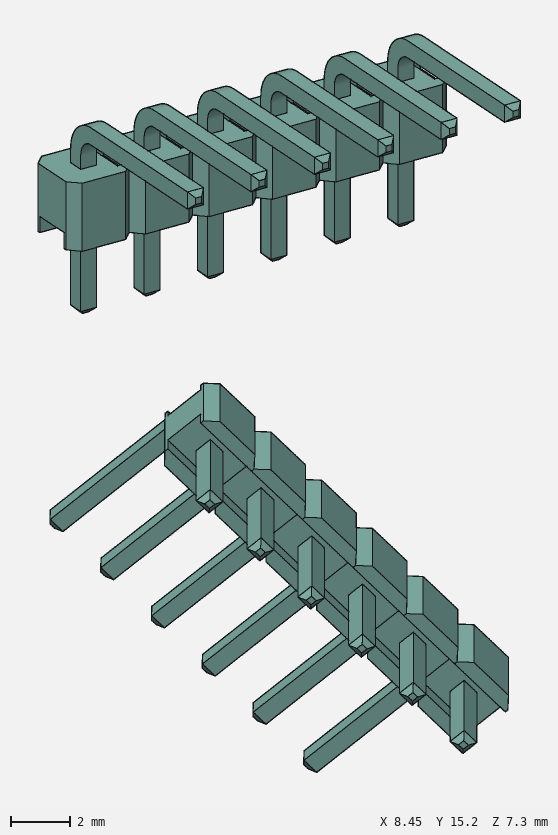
import cadquery as cq


cell_count = 6
pitch = 2.54
block_height = pitch
corner_chamfer = 0.4

channel_width = 1.5
channel_height = 0.6

notch_width = channel_width
notch_length = 0.4
notch_depth = 0.3

pin_width = 0.64
tip_taper = 0.2
bend_inner_radius = pin_width
bend_outer_radius = bend_inner_radius + pin_width
pin_top_above_block = 1.8
pin_tip_below_block = 2.96
pin_reach = 7.18

block_top = block_height / 2
block_bottom = -block_height / 2
pin_top = block_top + pin_top_above_block
pin_bottom = block_bottom - pin_tip_below_block
arm_axis_height = pin_top - pin_width / 2
bend_start_height = pin_top - bend_outer_radius
bend_end_x = bend_outer_radius - pin_width / 2


def make_block():
    block = cq.Workplane("XY").box(pitch, pitch, block_height)
    block = block.edges("|Z").chamfer(corner_chamfer)

    channel = cq.Workplane("XY").box(channel_width, pitch, channel_height)
    channel = channel.translate((0, 0, block_bottom + channel_height / 2))

    notch = cq.Workplane("XY").box(notch_width, notch_length, notch_depth)
    notch = notch.translate((0, (pitch - notch_length) / 2, block_top - notch_depth / 2))

    return block.cut(channel).cut(notch)


def make_pin():
    bend_radius = (bend_inner_radius + bend_outer_radius) / 2
    path = (
        cq.Workplane("XZ")
        .moveTo(0, pin_bottom)
        .lineTo(0, bend_start_height)
        .radiusArc((bend_end_x, arm_axis_height), bend_radius)
        .lineTo(pin_reach, arm_axis_height)
    )
    pin = cq.Workplane("XY", origin=(0, 0, pin_bottom)).rect(pin_width, pin_width).sweep(path)
    return pin.faces("<Z or >X").chamfer(tip_taper)


def make_cell():
    return make_block().union(make_pin())


first_cell_y = -(cell_count - 1) * pitch / 2
cell = make_cell()
cells = []
for index in range(cell_count):
    placed_cell = cell.translate((0, first_cell_y + index * pitch, 0))
    cells.append(placed_cell.solids().val())

result = cq.Compound.makeCompound(cells)